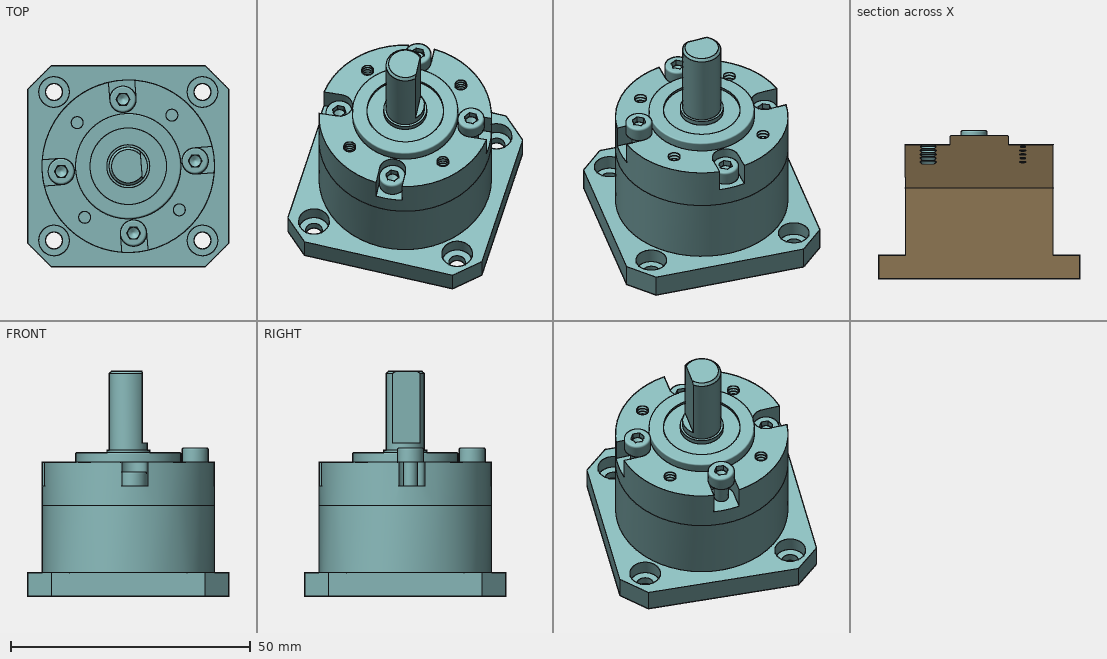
import cadquery as cq
import math

plate_side = 42.0
plate_thickness = 5.0
plate_corner_cut = 5.0
mount_pitch = 30.95
mount_hole_diameter = 3.5
mount_counterbore_diameter = 6.4
mount_counterbore_depth = 3.2
body_diameter = 36.0
base_height = 19.0

cover_top = 28.0
boss_diameter = 22.0
boss_top = 30.0
boss_rounding = 0.3
boss_recess_diameter = 16.0
boss_recess_depth = 0.5

turn_angle = 4.5
bolt_circle_radius = 14.0
bolt_count = 4

tapped_hole_diameter = 2.5
thread_groove_depth = 0.4
thread_pitch = 0.8
thread_crest_width = 0.1
thread_turns = 5

shaft_diameter = 8.0
shaft_top = 47.0
shaft_chamfer = 0.5
shaft_collar_diameter = 9.0
shaft_collar_top = 30.5
shaft_flat_distance = 2.73
shaft_flat_bottom = 32.0

screw_head_diameter = 5.5
screw_head_height = 2.95
screw_head_rounding = 0.4
screw_shank_diameter = 3.0
screw_shank_length = 8.0
hex_across_flats = 2.5
hex_depth = 1.3
hex_point_angle = 120
slot_width = screw_head_diameter
slot_depth = 5.0

hex_across_corners = hex_across_flats / math.cos(math.radians(30))
slot_floor = cover_top - slot_depth
slot_angles = [turn_angle + i * 360 / bolt_count for i in range(bolt_count)]
tapped_hole_angles = [angle + 180 / bolt_count for angle in slot_angles]
screw_seats = [cover_top, cover_top, slot_floor, slot_floor]


def cylinder(diameter, bottom, top):
    """Upright cylinder on the Z axis between two heights."""
    return cq.Workplane("XY").workplane(offset=bottom).circle(diameter / 2).extrude(top - bottom)


def on_bolt_circle(shape, angle):
    """Move a shape from the Z axis out along X to the bolt circle, then turn it by the angle."""
    return shape.translate((bolt_circle_radius, 0, 0)).rotate((0, 0, 0), (0, 0, 1), angle)


def make_screw(seat):
    """Cap screw on the Z axis with the underside of its head at the seat height."""
    head_top = seat + screw_head_height
    socket_floor = head_top - hex_depth
    head = cylinder(screw_head_diameter, seat, head_top).faces(">Z").edges().fillet(screw_head_rounding)
    shank = cylinder(screw_shank_diameter, seat - screw_shank_length, seat)
    socket = (
        cq.Workplane("XY")
        .workplane(offset=socket_floor)
        .polygon(6, hex_across_corners)
        .extrude(hex_depth)
    )
    point_radius = hex_across_flats / 2
    point_depth = point_radius / math.tan(math.radians(hex_point_angle / 2))
    point = cq.Workplane("XY").add(
        cq.Solid.makeCone(point_radius, 0, point_depth, cq.Vector(0, 0, socket_floor), cq.Vector(0, 0, -1))
    )
    return head.union(shank).cut(socket).cut(point)


def make_slot():
    """Cutter for a screw slot, rounded around the screw and open to the outside."""
    rounded_end = cylinder(slot_width, slot_floor, cover_top)
    channel = (
        cq.Workplane("XY")
        .workplane(offset=slot_floor)
        .rect(body_diameter / 2, slot_width)
        .extrude(slot_depth)
        .translate((body_diameter / 4, 0, 0))
    )
    return rounded_end.union(channel)


def cut_shank_holes(body):
    """Cut the hole that each screw shank fills out of a body."""
    for angle, seat in zip(slot_angles, screw_seats):
        hole = cylinder(screw_shank_diameter, seat - screw_shank_length, seat)
        body = body.cut(on_bolt_circle(hole, angle))
    return body


def make_tapped_hole():
    """Cutter for a flat-bottomed hole on the Z axis with V-shaped thread grooves as plain rings."""
    hole_radius = tapped_hole_diameter / 2
    groove_width = thread_pitch - thread_crest_width
    hole = cylinder(tapped_hole_diameter, cover_top - thread_turns * thread_pitch, cover_top)
    for turn in range(thread_turns):
        groove_top = cover_top - thread_crest_width - turn * thread_pitch
        groove = (
            cq.Workplane("XZ")
            .moveTo(0, groove_top)
            .lineTo(hole_radius, groove_top)
            .lineTo(hole_radius + thread_groove_depth, groove_top - groove_width / 2)
            .lineTo(hole_radius, groove_top - groove_width)
            .lineTo(0, groove_top - groove_width)
            .close()
            .revolve(360, (0, 0, 0), (0, 1, 0))
        )
        hole = hole.union(groove)
    return hole


def make_base():
    plate = (
        cq.Workplane("XY")
        .rect(plate_side, plate_side)
        .extrude(plate_thickness)
        .edges("|Z")
        .chamfer(plate_corner_cut)
        .faces(">Z")
        .workplane()
        .rect(mount_pitch, mount_pitch, forConstruction=True)
        .vertices()
        .cboreHole(mount_hole_diameter, mount_counterbore_diameter, mount_counterbore_depth)
    )
    gear_housing = cylinder(body_diameter, plate_thickness, base_height)
    return cut_shank_holes(plate.union(gear_housing))


def make_cover():
    boss = cylinder(boss_diameter, cover_top, boss_top).faces(">Z").edges().fillet(boss_rounding)
    cover = cylinder(body_diameter, base_height, cover_top).union(boss)
    cover = cover.cut(cylinder(boss_recess_diameter, boss_top - boss_recess_depth, boss_top))
    cover = cover.cut(cylinder(shaft_collar_diameter, base_height, boss_top))
    for angle in slot_angles:
        cover = cover.cut(on_bolt_circle(make_slot(), angle))
    for angle in tapped_hole_angles:
        cover = cover.cut(on_bolt_circle(make_tapped_hole(), angle))
    return cut_shank_holes(cover)


def make_shaft():
    """Shaft with a flat; its collar runs down through the cover to the gear housing."""
    collar = cylinder(shaft_collar_diameter, base_height, shaft_collar_top)
    rod = cylinder(shaft_diameter, shaft_collar_top, shaft_top).faces(">Z").edges().chamfer(shaft_chamfer)
    flat_length = shaft_top - shaft_flat_bottom
    flat = (
        cq.Workplane("XY")
        .workplane(offset=shaft_flat_bottom)
        .rect(shaft_diameter, shaft_diameter)
        .extrude(flat_length)
        .translate((shaft_flat_distance + shaft_diameter / 2, 0, 0))
        .rotate((0, 0, 0), (0, 0, 1), turn_angle)
    )
    return collar.union(rod.cut(flat))


base = make_base()
cover = make_cover()
shaft = make_shaft()
screws = []
for angle, seat in zip(slot_angles, screw_seats):
    screws.append(on_bolt_circle(make_screw(seat).rotate((0, 0, 0), (0, 0, 1), -angle), angle))

result = cq.Compound.makeCompound(
    [base.val(), cover.val(), shaft.val(), *[screw.val() for screw in screws]]
)